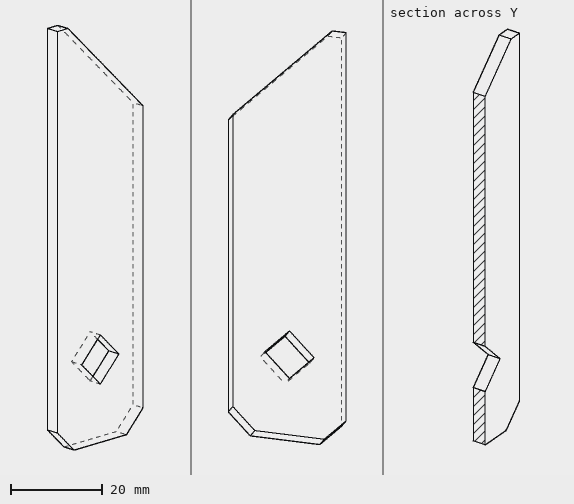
import cadquery as cq

thickness = 3.2
width = 26.0
height = 97.0
tip_width = 3.2
corner_chamfer = 5.0
hole_side = 8.0
hole_height = 19.0

half_width = width / 2
bevel = width - tip_width


def blade_plate():
    """Flat plate with a slanted top and two chamfered bottom corners."""
    outline = [
        (-half_width + corner_chamfer, 0),
        (half_width - corner_chamfer, 0),
        (half_width, corner_chamfer),
        (half_width, height - bevel),
        (half_width - bevel, height),
        (-half_width, height),
        (-half_width, corner_chamfer),
    ]
    return cq.Workplane("YZ").polyline(outline).close().extrude(thickness / 2, both=True)


def square_hole():
    """Square cutter turned 45 degrees, centred across the width."""
    return (
        cq.Workplane("YZ")
        .center(0, hole_height)
        .transformed(rotate=(0, 0, 45))
        .rect(hole_side, hole_side)
        .extrude(thickness, both=True)
    )


result = blade_plate().cut(square_hole())